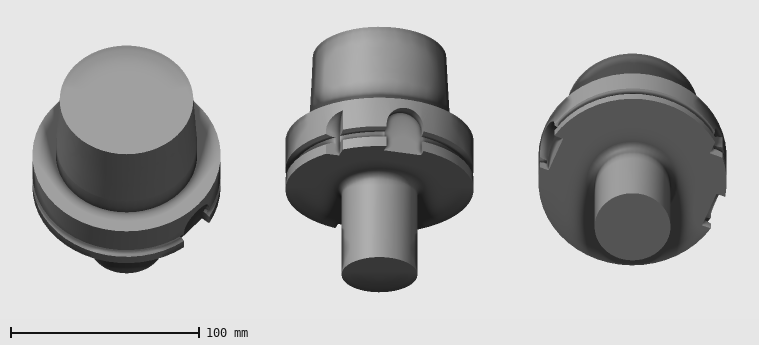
import cadquery as cq

total_height = 130.0
flange_diameter = 100.0
flange_height = 29.0
nose_height = 50.0
nose_collar_height = 10.0
nose_base_radius = 37.6
nose_top_radius = 35.5
shank_radius = 20.2
shank_fillet = 4.0

groove_radius = 46.0
groove_top_depth = 17.2
groove_rim_width = 6.1
groove_chamfer_height = 1.2
groove_chamfer_depth = 2.2

slot_width = 20.4
slot_top_depth = 5.2
drive_floor_distance = 44.0
notch_floor_y = 31.5
notch_inner_wall_x = -31.6

flange_radius = flange_diameter / 2
flange_top = total_height - nose_height
flange_bottom = flange_top - flange_height
slot_radius = slot_width / 2
slot_center_z = flange_top - slot_top_depth - slot_radius


def turned_body():
    """Revolve the half profile of the shank, flange and nose about Z."""
    groove_top = flange_top - groove_top_depth
    groove_bottom = groove_top - groove_rim_width
    lip_radius = flange_radius - groove_chamfer_depth
    fillet_inset = shank_fillet * (1 - 0.5 ** 0.5)
    profile = (
        cq.Workplane("XZ")
        .lineTo(shank_radius, 0)
        .lineTo(shank_radius, flange_bottom - shank_fillet)
        .threePointArc(
            (shank_radius + fillet_inset, flange_bottom - fillet_inset),
            (shank_radius + shank_fillet, flange_bottom),
        )
        .lineTo(flange_radius, flange_bottom)
        .lineTo(flange_radius, groove_bottom)
        .lineTo(lip_radius, groove_bottom + groove_chamfer_height)
        .lineTo(groove_radius, groove_bottom + groove_chamfer_height)
        .lineTo(groove_radius, groove_top - groove_chamfer_height)
        .lineTo(lip_radius, groove_top - groove_chamfer_height)
        .lineTo(flange_radius, groove_top)
        .lineTo(flange_radius, flange_top)
        .lineTo(nose_base_radius, flange_top)
        .lineTo(nose_base_radius, flange_top + nose_collar_height)
        .lineTo(nose_top_radius, total_height)
        .lineTo(0, total_height)
        .close()
    )
    return profile.revolve(360, (0, 0, 0), (0, 1, 0))


def slot_cutter(floor_distance, sideways, direction):
    """Round-topped slot cutting outward from its floor, turned about Z to face a direction."""
    outline = (
        cq.Workplane("YZ", origin=(floor_distance, sideways, 0))
        .moveTo(-slot_radius, flange_bottom)
        .lineTo(-slot_radius, slot_center_z)
        .threePointArc((0, slot_center_z + slot_radius), (slot_radius, slot_center_z))
        .lineTo(slot_radius, flange_bottom)
        .close()
    )
    return outline.extrude(flange_radius).rotate((0, 0, 0), (0, 0, 1), direction)


result = turned_body()

for direction in (0, 180):
    result = result.cut(slot_cutter(drive_floor_distance, 0, direction))

notch_offset = slot_radius - notch_inner_wall_x
result = result.cut(slot_cutter(notch_floor_y, notch_offset, 90))